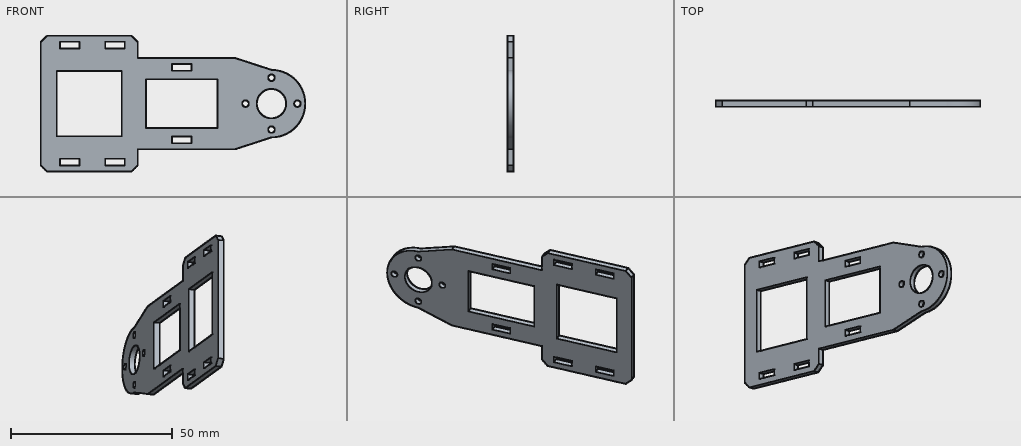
import cadquery as cq

length = 81.75
height = 42.0
thickness = 2.0

base_length = 30.0
base_chamfer = 2.0
arm_height = 28.3
arm_end = 60.0
nose_radius = 10.5
nose_x = length - nose_radius

base_window_size = 20.0
base_window_x = base_length / 2
arm_window_length = 22.0
arm_window_height = 15.0
arm_window_x = 43.6

slot_length = 6.0
slot_height = 2.0
slot_edge_margin = 2.0
base_slot_spacing = 14.0
first_slot_x = 9.0
base_slot_x = (first_slot_x, first_slot_x + base_slot_spacing)
base_slot_z = height / 2 - slot_edge_margin - slot_height / 2
arm_slot_z = arm_height / 2 - slot_edge_margin - slot_height / 2

bore_diameter = 9.0
screw_diameter = 2.0
screw_circle_diameter = 16.0
screw_count = 4


def plate():
    """Plate outline, extruded from Y = 0 towards +Y."""
    half_base = height / 2
    half_arm = arm_height / 2
    base_side = half_base - base_chamfer
    return (
        cq.Workplane("XZ")
        .moveTo(0, -base_side)
        .lineTo(base_chamfer, -half_base)
        .lineTo(base_length - base_chamfer, -half_base)
        .lineTo(base_length, -base_side)
        .lineTo(base_length, -half_arm)
        .lineTo(arm_end, -half_arm)
        .lineTo(nose_x, -nose_radius)
        .threePointArc((length, 0), (nose_x, nose_radius))
        .lineTo(arm_end, half_arm)
        .lineTo(base_length, half_arm)
        .lineTo(base_length, base_side)
        .lineTo(base_length - base_chamfer, half_base)
        .lineTo(base_chamfer, half_base)
        .lineTo(0, base_side)
        .close()
        .extrude(-thickness)
    )


def rectangles(centers, size_x, size_z):
    """Through-cutters for equal rectangular openings."""
    return cq.Workplane("XZ").pushPoints(centers).rect(size_x, size_z).extrude(-thickness)


def nose_holes():
    """Through-cutters for the central bore and the screw holes around it."""
    nose = cq.Workplane("XZ").center(nose_x, 0)
    bore = nose.circle(bore_diameter / 2).extrude(-thickness)
    screws = (
        nose.polarArray(screw_circle_diameter / 2, 0, 360, screw_count)
        .circle(screw_diameter / 2)
        .extrude(-thickness)
    )
    return bore.union(screws)


base_slots = [(x, side * base_slot_z) for x in base_slot_x for side in (-1, 1)]
arm_slots = [(arm_window_x, side * arm_slot_z) for side in (-1, 1)]

result = (
    plate()
    .cut(rectangles([(base_window_x, 0)], base_window_size, base_window_size))
    .cut(rectangles([(arm_window_x, 0)], arm_window_length, arm_window_height))
    .cut(rectangles(base_slots + arm_slots, slot_length, slot_height))
    .cut(nose_holes())
)